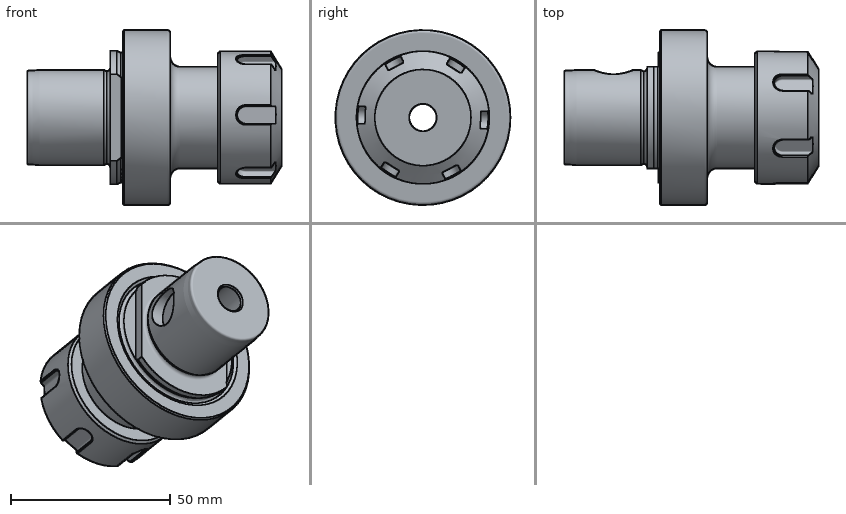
import cadquery as cq
import math


collar_start = 26.05
flats_end = 29.6
flange_start = 30.0
flange_end = 45.0
nut_start = 59.8
nut_cone_start = 76.4
nut_end = 80.0

shank_radius = 15.0
shank_tip_radius = 14.8
shank_end_fillet = 0.7
lead_in_start = 1.8
lead_in_end = 3.9
undercut_start = 24.1
undercut_radius = 14.55
undercut_fillet = 1.1

detent_x = 15.55
detent_radius = 6.2
detent_floor_y = 11.0

collar_radius = 21.0
collar_rim_end = 28.2
collar_neck_radius = 20.4
flats_width = 32.0

flange_radius = 27.5
flange_back_chamfer = 0.5
flange_front_fillet = 1.0
groove_outer_radius = 22.6
groove_fillet = 1.15
groove_bottom_x = flange_start + 0.6

neck_radius = 16.0
neck_fillet = 3.0
bore_radius = 4.25
bore_chamfer = 0.5

nut_radius = 20.85
nut_back_chamfer = 0.8
nut_face_radius = 15.1

slot_count = 6
slot_turn = 2.3
slot_width = 5.5
slot_end_center_x = 68.7
slot_floor_radius = 18.1
slot_floor_fillet = 0.4
slot_rim_break = 0.4
cutter_overrun = 1.0


def revolve_about_x(profile):
    """Turn a closed profile drawn in the XY plane about the X axis."""
    return profile.revolve(360, (0, 0, 0), (1, 0, 0))


def fillet_point(center, radius, angle):
    """Point on a circle at the given angle in radians."""
    return (center[0] + radius * math.cos(angle), center[1] + radius * math.sin(angle))


def make_chuck_body():
    diagonal = math.radians(45)
    shank_fillet_center = (shank_end_fillet, shank_tip_radius - shank_end_fillet)
    undercut_center = (collar_start - undercut_fillet, undercut_radius + undercut_fillet)
    groove_fillet_center = (groove_bottom_x - groove_fillet, collar_neck_radius + groove_fillet)
    flange_fillet_center = (flange_end - flange_front_fillet, flange_radius - flange_front_fillet)
    neck_fillet_center = (flange_end + neck_fillet, neck_radius + neck_fillet)

    profile = (
        cq.Workplane("XY")
        .moveTo(0, bore_radius + bore_chamfer)
        .lineTo(0, shank_tip_radius - shank_end_fillet)
        .threePointArc(
            fillet_point(shank_fillet_center, shank_end_fillet, 3 * diagonal),
            (shank_end_fillet, shank_tip_radius),
        )
        .lineTo(lead_in_start, shank_tip_radius)
        .lineTo(lead_in_end, shank_radius)
        .lineTo(undercut_start, shank_radius)
        .lineTo(undercut_center[0], undercut_radius)
        .threePointArc(
            fillet_point(undercut_center, undercut_fillet, -diagonal),
            (collar_start, undercut_center[1]),
        )
        .lineTo(collar_start, collar_radius)
        .lineTo(collar_rim_end, collar_radius)
        .lineTo(groove_fillet_center[0], collar_neck_radius)
        .threePointArc(
            fillet_point(groove_fillet_center, groove_fillet, -diagonal),
            (groove_bottom_x, collar_neck_radius + groove_fillet),
        )
        .lineTo(flange_start, groove_outer_radius)
        .lineTo(flange_start, flange_radius - flange_back_chamfer)
        .lineTo(flange_start + flange_back_chamfer, flange_radius)
        .lineTo(flange_end - flange_front_fillet, flange_radius)
        .threePointArc(
            fillet_point(flange_fillet_center, flange_front_fillet, diagonal),
            (flange_end, flange_radius - flange_front_fillet),
        )
        .lineTo(flange_end, neck_radius + neck_fillet)
        .threePointArc(
            fillet_point(neck_fillet_center, neck_fillet, -3 * diagonal),
            (flange_end + neck_fillet, neck_radius),
        )
        .lineTo(nut_cone_start, neck_radius)
        .lineTo(nut_cone_start, bore_radius)
        .lineTo(bore_chamfer, bore_radius)
        .close()
    )
    return revolve_about_x(profile).cut(make_flat_cutters()).cut(make_detent_cutter())


def make_flat_cutters():
    """Two blocks that leave the collar with parallel flats facing -Y and +Y."""
    length = flats_end - collar_start
    depth = collar_radius - flats_width / 2
    return (
        cq.Workplane("XY")
        .pushPoints([(collar_start + length / 2, side * (flats_width + depth) / 2) for side in (-1, 1)])
        .box(length, depth, 2 * collar_radius)
    )


def make_detent_cutter():
    return (
        cq.Workplane("XZ", origin=(detent_x, detent_floor_y, 0))
        .circle(detent_radius)
        .extrude(-(flange_radius - detent_floor_y))
    )


def make_slot_cutter():
    """Round-ended cutter for the slot on the -Y side, open at the nut face."""
    length = nut_end - slot_end_center_x
    depth = nut_radius - slot_floor_radius + cutter_overrun
    blank = (
        cq.Workplane("XZ", origin=(slot_end_center_x, -slot_floor_radius, 0))
        .moveTo(length, slot_width / 2)
        .lineTo(0, slot_width / 2)
        .threePointArc((-slot_width / 2, 0), (0, -slot_width / 2))
        .lineTo(length, -slot_width / 2)
        .close()
        .extrude(depth)
    )
    return blank.faces(">Y").edges("not >X").fillet(slot_floor_fillet)


def is_slot_rim(edge):
    """True for slot edges on the nut's cylinder, but not its end circles or its seam line."""
    on_cylinder = all(
        math.isclose(math.hypot(point.y, point.z), nut_radius, abs_tol=0.001)
        for point in (edge.positionAt(step / 4) for step in range(5))
    )
    starts_in_slot = edge.BoundingBox().xmin > slot_end_center_x - slot_width
    return on_cylinder and starts_in_slot and edge.geomType() != "CIRCLE"


def make_nut():
    profile = (
        cq.Workplane("XY")
        .moveTo(nut_start, neck_radius)
        .lineTo(nut_start, nut_radius - nut_back_chamfer)
        .lineTo(nut_start + nut_back_chamfer, nut_radius)
        .lineTo(nut_cone_start, nut_radius)
        .lineTo(nut_end, nut_face_radius)
        .lineTo(nut_end, bore_radius)
        .lineTo(nut_cone_start, bore_radius)
        .lineTo(nut_cone_start, neck_radius)
        .close()
    )
    nut = revolve_about_x(profile)
    cutter = make_slot_cutter()
    for index in range(slot_count):
        angle = index * 360 / slot_count - slot_turn
        nut = nut.cut(cutter.rotate((0, 0, 0), (1, 0, 0), angle))
    slot_rims = [edge for edge in nut.edges().vals() if is_slot_rim(edge)]
    return nut.newObject(slot_rims).chamfer(slot_rim_break)


chuck_body = make_chuck_body()
nut = make_nut()

result = cq.Compound.makeCompound([chuck_body.val(), nut.val()])